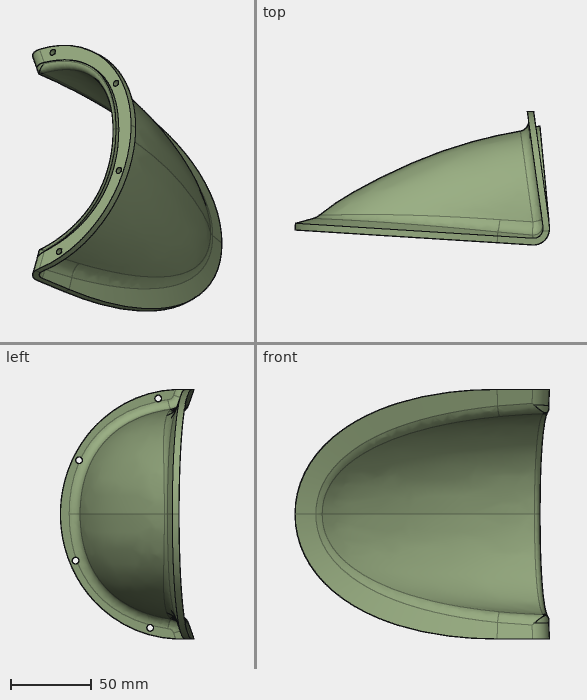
import cadquery as cq
import math

LENGTH = 157.37
DEPTH = 82.69
HEIGHT = 154.35
HALF_HEIGHT = HEIGHT / 2
REACH = 200.0
TOLERANCE = 0.01
CLEARANCE = 0.5

PLATE = 4.0
BEND_RADIUS = 10.0
BEND_SETBACK = 0.07
FRONT_TILT = 3.6
REAR_TILT = 7.8
DISH_TAPER = 19.0
DISH_INSET = 24.0
FRONT_CURVE_LENGTH = 125.2
FRONT_TIP_PULL = 43.3
FRONT_SIDE_PULL = 77.9
REAR_CURVE_DEPTH = 74.1

OUTER_HALF_WIDTH = 66.0
INNER_HALF_WIDTH = 62.6
LIP_TILT = 5.4
LIP_WALL = 1.5
HINGE_GAP = 1.0
SIDE_PULL = 0.66
TIP_PULL = 0.6
SECTIONS = [
    (180.0, 162.0, 156.0),
    (172.0, 144.3, 139.0),
    (163.0, 123.6, 118.4),
    (152.8, 105.6, 101.0),
    (140.4, 91.1, 87.0),
    (125.4, 80.3, 76.6),
    (107.8, 74.3, 71.0),
    (92.0, 73.0, 69.7),
]

FRONT_FILLET = 10.0
REAR_FILLET = 6.0
LIP_FILLET = 4.0

HOLE_DIAMETER = 4.0
HOLE_CIRCLE_RADIUS = 73.4
HOLE_CIRCLE_Y = 5.7
HOLE_FIRST_ANGLE = -73.0
HOLE_STEP = 50.0
HOLE_COUNT = 4


def direction(angle):
    """Unit vector in the XY plane at the given angle from +X."""
    return cq.Vector(math.cos(math.radians(angle)), math.sin(math.radians(angle)), 0)


def hinge_point():
    """Sharp corner where the outer faces of the two flanges would meet."""
    half_turn = (90 + REAR_TILT + FRONT_TILT) / 2
    bisector = direction(REAR_TILT - half_turn)
    return BEND_CENTER + bisector * (BEND_RADIUS / math.cos(math.radians(half_turn)))


BEND_CENTER = cq.Vector(LENGTH + BEND_SETBACK - BEND_RADIUS, BEND_RADIUS, 0)
HINGE = hinge_point()
FRONT_ALONG = direction(-FRONT_TILT)
FRONT_INWARD = direction(90 - FRONT_TILT)
FRONT_TIP = HINGE - FRONT_ALONG * (HINGE.x / FRONT_ALONG.x)
FRONT_PLANE = cq.Plane(origin=FRONT_TIP, xDir=FRONT_ALONG, normal=FRONT_INWARD)


def front_outline(inset, depth):
    """Front flange outline, moved inward by inset and lifted by depth off the rim plane."""
    half = HALF_HEIGHT - inset
    curve_end = FRONT_CURVE_LENGTH
    side_handle = curve_end - FRONT_SIDE_PULL * (curve_end - inset) / curve_end
    tip_handle = FRONT_TIP_PULL * half / HALF_HEIGHT
    return (
        cq.Workplane(FRONT_PLANE)
        .workplane(offset=depth)
        .moveTo(REACH, half)
        .lineTo(curve_end, half)
        .bezier([(curve_end, half), (side_handle, half), (inset, tip_handle), (inset, 0)])
        .bezier([(inset, 0), (inset, -tip_handle), (side_handle, -half), (curve_end, -half)])
        .lineTo(REACH, -half)
        .close()
        .wire()
        .val()
    )


def rear_plane(offset, tilt):
    """Plane of the rear face, moved inward by offset, with its normal pointing inward."""
    origin = BEND_CENTER + direction(tilt) * (BEND_RADIUS - offset)
    return cq.Plane(origin=origin, xDir=direction(tilt - 90), normal=direction(180 + tilt))


def sharp_space(offset, tilt):
    """Upper half of the space inside the dished front face and the rear face, before bending."""
    dish_offset = offset / math.cos(math.radians(DISH_TAPER))
    dish_depth = DISH_INSET * math.tan(math.radians(DISH_TAPER))
    rim = front_outline(0, dish_offset)
    floor = front_outline(DISH_INSET, dish_offset + dish_depth)
    dish = cq.Workplane(cq.Solid.makeLoft([rim, floor], True))
    behind_rim = (
        cq.Workplane(FRONT_PLANE)
        .workplane(offset=dish_offset)
        .rect(4 * REACH, HEIGHT)
        .extrude(REACH)
    )
    inside_rear = (
        cq.Workplane(rear_plane(offset, tilt))
        .center(0, HALF_HEIGHT / 2)
        .rect(2 * REACH, HALF_HEIGHT)
        .extrude(REACH)
    )
    return inside_rear.intersect(behind_rim).cut(dish)


def edge_points(edge):
    """Start, middle and end of an edge."""
    return [edge.positionAt(share) for share in (0, 0.5, 1)]


def lies_in(edge, plane):
    """Whether an edge lies in a plane."""
    return all(abs(plane.toLocalCoords(point).z) < TOLERANCE for point in edge_points(edge))


def bent_space(offset, tilt):
    """The sharp space with its front corner rounded to the bend radius."""
    space = sharp_space(offset, tilt)
    plane = rear_plane(offset, tilt)
    corner = [
        edge
        for edge in space.edges().vals()
        if lies_in(edge, plane)
        and edge.Center().y < 2 * BEND_RADIUS
        and CLEARANCE < edge.Center().z < HALF_HEIGHT - CLEARANCE
    ]
    return space.newObject(corner).fillet(BEND_RADIUS - offset)


def dome_section(angle, tip, half_width):
    """Half of a U in the plane that holds the hinge line, closed below the middle."""
    plane = cq.Plane(origin=HINGE, xDir=direction(angle), normal=direction(angle - 90))
    side_handle = HINGE_GAP + SIDE_PULL * (tip - HINGE_GAP)
    start = (HINGE_GAP, half_width)
    end = (tip, 0)
    return (
        cq.Workplane(plane)
        .moveTo(HINGE_GAP, -HINGE_GAP)
        .lineTo(*start)
        .bezier([start, (side_handle, half_width), (tip, TIP_PULL * half_width), end])
        .lineTo(tip, -HINGE_GAP)
        .close()
        .wire()
        .val()
    )


def dome(tips, half_width):
    """Upper half of a solid dome with the given tip radius in each section plane."""
    wires = [dome_section(section[0], tip, half_width) for section, tip in zip(SECTIONS, tips)]
    return cq.Workplane(cq.Solid.makeLoft(wires))


def flared_space(offset, tilt, dome_body, half_width, rear_fillet):
    """Bent space around a dome, with the dome flaring into the front and rear faces."""
    plane = rear_plane(offset, tilt)
    space = sharp_space(offset, tilt).cut(dome_body)
    front_edges = [
        edge
        for edge in space.edges("%BSPLINE").vals()
        if all(point.z < half_width + CLEARANCE for point in edge_points(edge))
        and edge.Center().z > CLEARANCE
        and not lies_in(edge, plane)
    ]
    space = space.newObject(front_edges).fillet(FRONT_FILLET)
    rear_edges = [
        edge
        for edge in space.edges("not %LINE").vals()
        if lies_in(edge, plane) and edge.Length() > half_width
    ]
    space = space.newObject(rear_edges).fillet(rear_fillet)
    return space.intersect(bent_space(offset, tilt))


def flange_outlines():
    """Column inside the outlines of both flanges."""
    front = cq.Workplane(cq.Solid.extrudeLinear(front_outline(0, -REACH), [], FRONT_INWARD * 2 * REACH))
    ellipse_base = DEPTH - REAR_CURVE_DEPTH
    rear = (
        cq.Workplane("YZ")
        .moveTo(-REACH, -HALF_HEIGHT)
        .lineTo(ellipse_base, -HALF_HEIGHT)
        .ellipseArc(REAR_CURVE_DEPTH, HALF_HEIGHT, -90, 90, startAtCurrent=True)
        .lineTo(-REACH, HALF_HEIGHT)
        .close()
        .extrude(REACH)
    )
    return front.intersect(rear)


def mounting_holes():
    """Pins along X, evenly spaced on the hole circle of the rear flange."""
    holes = cq.Workplane("YZ")
    for index in range(HOLE_COUNT):
        angle = math.radians(HOLE_FIRST_ANGLE + index * HOLE_STEP)
        y = HOLE_CIRCLE_Y + HOLE_CIRCLE_RADIUS * math.cos(angle)
        z = HOLE_CIRCLE_RADIUS * math.sin(angle)
        holes = holes.moveTo(y, z).circle(HOLE_DIAMETER / 2)
    return holes.extrude(REACH)


outer_tips = [section[1] for section in SECTIONS]
inner_tips = [section[2] for section in SECTIONS]
lip_tips = [tip + LIP_WALL for tip in outer_tips]
outer_dome = dome(outer_tips, OUTER_HALF_WIDTH)
inner_dome = dome(inner_tips, INNER_HALF_WIDTH)
lip_dome = dome(lip_tips, OUTER_HALF_WIDTH + LIP_WALL)

front_space = flared_space(0, REAR_TILT, inner_dome, INNER_HALF_WIDTH, LIP_FILLET)
back_space = flared_space(PLATE, REAR_TILT, outer_dome, OUTER_HALF_WIDTH, REAR_FILLET)
lip_space = flared_space(0, LIP_TILT, inner_dome, INNER_HALF_WIDTH, LIP_FILLET)

shell = front_space.intersect(flange_outlines()).cut(back_space)
lip = lip_space.intersect(lip_dome).cut(back_space)
half = shell.union(lip)
result = half.union(half.mirror("XY")).cut(mounting_holes())